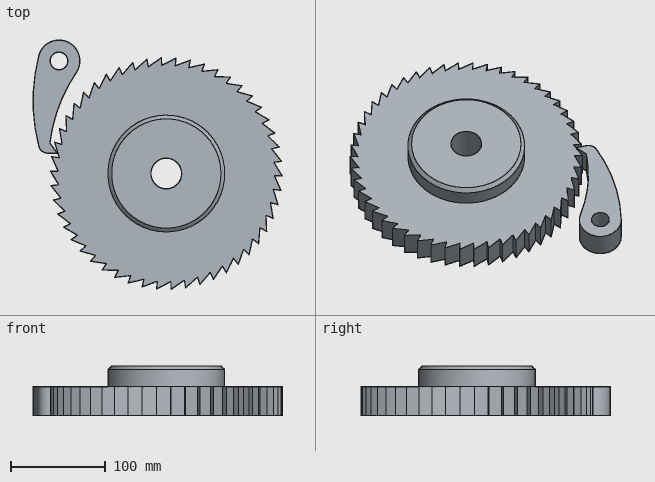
import cadquery as cq
import math

tooth_count = 50
tip_radius = 122.3
tooth_depth = 8.2
tip_angle = -1.25
wheel_thickness = 30.5
bore_diameter = 32.0

hub_diameter = 123.0
hub_height = 22.0
hub_chamfer = 4.0

pivot_x = -113.0
pivot_y = 118.5
head_radius = 22.0
pivot_hole_diameter = 18.5
back_tilt = 14.5
belly_tilt = 34.0
nose_radius = 10.0
nose_bottom_y = 21.3
nose_tip_x = -114.5
heel_x = -122.5
heel_y = 32.0


def polar(radius, degrees, centre=(0, 0)):
    """Point at a radius and direction from a centre."""
    angle = math.radians(degrees)
    return (centre[0] + radius * math.cos(angle), centre[1] + radius * math.sin(angle))


def make_ratchet_wheel():
    """Saw-toothed disc with a chamfered hub and a through bore."""
    pitch = 360 / tooth_count
    root_radius = tip_radius - tooth_depth
    outline = []
    for tooth in range(tooth_count):
        direction = tip_angle + tooth * pitch
        outline.append(polar(root_radius, direction))
        outline.append(polar(tip_radius, direction))
    disc = cq.Workplane("XY").polyline(outline).close().extrude(wheel_thickness)
    hub = (
        cq.Workplane("XY")
        .circle(hub_diameter / 2)
        .extrude(wheel_thickness + hub_height)
        .faces(">Z")
        .chamfer(hub_chamfer)
    )
    bore = cq.Workplane("XY").circle(bore_diameter / 2).extrude(wheel_thickness + hub_height)
    return disc.union(hub).cut(bore)


def make_pawl():
    """Curved lever with a round pivot head and a pointed nose between two teeth."""
    pivot = (pivot_x, pivot_y)
    nose_x = pivot_x - (head_radius - nose_radius) * math.cos(math.radians(back_tilt))
    nose_centre = (nose_x, nose_bottom_y + nose_radius)
    blank = (
        cq.Workplane("XY")
        .moveTo(*polar(head_radius, -belly_tilt, pivot))
        .threePointArc(polar(head_radius, 90, pivot), polar(head_radius, 180 - back_tilt, pivot))
        .tangentArcPoint(polar(nose_radius, 180 + back_tilt, nose_centre), relative=False)
        .tangentArcPoint((nose_x, nose_bottom_y), relative=False)
        .lineTo(nose_tip_x, nose_bottom_y)
        .lineTo(heel_x, heel_y)
    )
    belly_end = polar(head_radius, -belly_tilt, pivot)
    chord_x = belly_end[0] - heel_x
    chord_y = belly_end[1] - heel_y
    chord = math.hypot(chord_x, chord_y)
    half_sweep = math.radians(belly_tilt) - math.atan2(chord_x, chord_y)
    sag = chord / 2 * math.tan(half_sweep / 2)
    belly_middle = (
        (heel_x + belly_end[0]) / 2 - sag * chord_y / chord,
        (heel_y + belly_end[1]) / 2 + sag * chord_x / chord,
    )
    blank = blank.threePointArc(belly_middle, belly_end).close().extrude(wheel_thickness)
    pivot_hole = cq.Workplane("XY").center(*pivot).circle(pivot_hole_diameter / 2).extrude(wheel_thickness)
    return blank.cut(pivot_hole)


ratchet_wheel = make_ratchet_wheel()
pawl = make_pawl()

result = cq.Compound.makeCompound([ratchet_wheel.val(), pawl.val()])